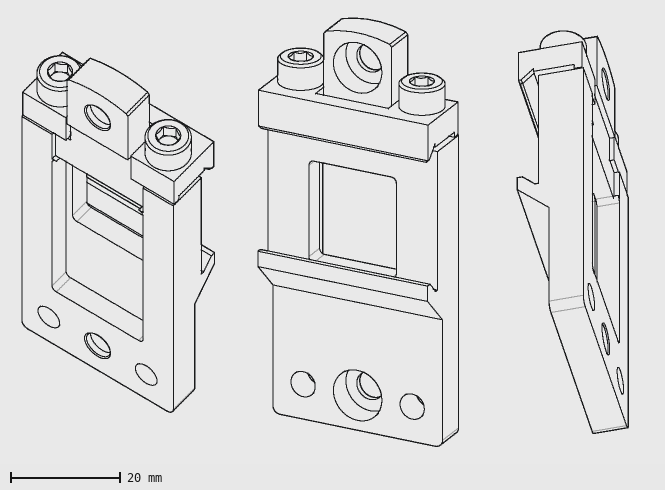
import cadquery as cq
import math


plate_width = 35.0
shoulder_z = 60.0
lower_thickness = 6.5
upper_thickness = 8.5
bottom_corner_radius = 1.5

hook_reach_y = 12.5
hook_tip_z = 34.65
hook_tip_flat = 1.0
hook_valley_z = 32.3
hook_outer_z = 31.6

tongue_width = 14.0
tongue_top_z = 79.5
tongue_crown_radius = 22.5
tongue_corner_chamfer = 0.4

pocket_width = 21.0
pocket_bottom_z = 15.5
pocket_top_z = 53.0
pocket_depth = 4.25
recess_top_z = 65.5
recess_depth = 1.0
window_width = 18.0
window_bottom_z = 32.75
pocket_corner_radius = 1.0

main_hole_diameter = 5.5
main_hole_chamfer = 0.25
counterbore_diameter = 10.0
counterbore_depth = 5.0
lower_hole_z = 7.0
upper_hole_z = recess_top_z + lower_hole_z
side_hole_diameter = 5.0
side_hole_x = 11.25

screw_x = 12.5
screw_y = 5.0
screw_length = 12.0
shank_diameter = 5.0
head_diameter = 8.5
head_height = 5.0
head_chamfer = 0.5
socket_across_flats = 4.0
socket_corner_diameter = socket_across_flats / math.cos(math.pi / 6)
socket_depth = 2.5
socket_bevel = (socket_corner_diameter - socket_across_flats) / 2
socket_cone_depth = 1.2

clamp_front_y = 0.25
clamp_depth = 12.0
clamp_back_y = clamp_front_y + clamp_depth
clamp_top_z = 66.75
clamp_underside_z = 61.25
clamp_lip_z = 60.25
clamp_lip_depth = 1.5
clamp_hole_diameter = 5.5
clamp_slot_width = 15.0
clamp_slot_back_y = 8.75
jaw_tip_z = 59.1
jaw_root_y = 9.4
jaw_end_chamfer = 0.5
jaw_heel_height = 0.5
jaw_heel_depth = 0.25


def block(x_size, y_min, y_max, z_min, z_max):
    """Box centred on X = 0."""
    size_y = y_max - y_min
    size_z = z_max - z_min
    return cq.Workplane("XY").box(x_size, size_y, size_z, centered=(True, False, False)).translate(
        (0, y_min, z_min)
    )


def side_profile(points, width):
    """Extrude a closed (Y, Z) outline symmetrically across X = 0."""
    return cq.Workplane("YZ").polyline(points).close().extrude(width / 2, both=True)


def through_y(diameter, x, z):
    """Cylinder running through the whole depth along Y."""
    return (
        cq.Workplane("XZ").center(x, z).circle(diameter / 2).extrude(-hook_reach_y)
    )


def make_plate_body():
    slope_end_z = hook_outer_z - (hook_reach_y - lower_thickness)
    tip_inner_y = hook_reach_y - hook_tip_flat
    valley_y = tip_inner_y - (hook_tip_z - hook_valley_z)
    outline = [
        (0, 0),
        (lower_thickness, 0),
        (lower_thickness, slope_end_z),
        (hook_reach_y, hook_outer_z),
        (hook_reach_y, hook_tip_z),
        (tip_inner_y, hook_tip_z),
        (valley_y, hook_valley_z),
        (upper_thickness, hook_valley_z),
        (upper_thickness, shoulder_z),
        (0, shoulder_z),
    ]
    body = side_profile(outline, plate_width)
    return body.edges("|Y").edges("<Z").fillet(bottom_corner_radius)


def make_tongue():
    half = tongue_width / 2
    crown_drop = tongue_crown_radius - math.sqrt(tongue_crown_radius**2 - half**2)
    crown_end_z = tongue_top_z - crown_drop
    return (
        cq.Workplane("XZ")
        .moveTo(-half, shoulder_z)
        .lineTo(-half, crown_end_z)
        .threePointArc((0, tongue_top_z), (half, crown_end_z))
        .lineTo(half, shoulder_z)
        .close()
        .extrude(-lower_thickness)
        .edges("|Y")
        .edges(">Z")
        .chamfer(tongue_corner_chamfer)
    )


def make_main_hole(z):
    """Clearance hole, chamfered at the front and counterbored from the back."""
    hole = through_y(main_hole_diameter, 0, z)
    mouth = (
        cq.Workplane("XZ")
        .center(0, z)
        .circle(main_hole_diameter / 2 + main_hole_chamfer)
        .extrude(-main_hole_chamfer, taper=45)
    )
    counterbore = (
        cq.Workplane("XZ", origin=(0, lower_thickness, z))
        .circle(counterbore_diameter / 2)
        .extrude(counterbore_depth)
    )
    return hole.union(mouth).union(counterbore)


def make_base_plate():
    plate = make_plate_body().union(make_tongue())

    recess = block(pocket_width, 0, recess_depth, pocket_top_z, recess_top_z)
    pocket = block(pocket_width, 0, pocket_depth, pocket_bottom_z, pocket_top_z)
    window = block(window_width, 0, upper_thickness, window_bottom_z, pocket_top_z)
    plate = plate.cut(recess)
    plate = plate.cut(pocket.edges("|Y").fillet(pocket_corner_radius))
    plate = plate.cut(window.edges("|Y").fillet(pocket_corner_radius))

    for z in (lower_hole_z, upper_hole_z):
        plate = plate.cut(make_main_hole(z))
    for x in (-side_hole_x, side_hole_x):
        plate = plate.cut(through_y(side_hole_diameter, x, lower_hole_z))

    for x in (-screw_x, screw_x):
        plate = plate.cut(make_shank(x, shank_diameter))
    return plate


def make_shank(x, diameter):
    """Cylinder along a screw's axis, from under its head to its end."""
    return (
        cq.Workplane("XY", origin=(x, screw_y, clamp_top_z))
        .circle(diameter / 2)
        .extrude(-screw_length)
    )


def make_socket(x):
    """Hexagonal socket with a bevelled mouth and a conical bottom."""
    head_top_z = clamp_top_z + head_height
    hexagon = (
        cq.Workplane("XY", origin=(x, screw_y, head_top_z))
        .transformed(rotate=(0, 0, 90))
        .polygon(6, socket_corner_diameter)
        .extrude(-socket_depth)
    )
    flat_radius = socket_across_flats / 2
    core_outline = [
        (0, 0),
        (socket_corner_diameter / 2, 0),
        (flat_radius, -socket_bevel),
        (flat_radius, -socket_depth),
        (0, -socket_depth - socket_cone_depth),
    ]
    core = (
        cq.Workplane("XZ", origin=(x, screw_y, head_top_z))
        .polyline(core_outline)
        .close()
        .revolve(360, (0, 0, 0), (0, 1, 0))
    )
    return hexagon.union(core)


def make_screw(x):
    head = (
        cq.Workplane("XY", origin=(x, screw_y, clamp_top_z))
        .circle(head_diameter / 2)
        .extrude(head_height)
        .faces(">Z")
        .chamfer(head_chamfer)
    )
    return head.union(make_shank(x, shank_diameter)).cut(make_socket(x))


def make_clamp_jaw():
    """Hook along the clamp's back edge, with a 45 degree inner face bevelled at both ends."""
    tip_inner_y = jaw_root_y + clamp_underside_z - jaw_tip_z
    outline = [
        (jaw_root_y, clamp_top_z),
        (jaw_root_y, clamp_underside_z),
        (tip_inner_y, jaw_tip_z),
        (clamp_back_y - jaw_heel_depth, jaw_tip_z),
        (clamp_back_y, jaw_tip_z + jaw_heel_height),
        (clamp_back_y, clamp_top_z),
    ]
    jaw = side_profile(outline, plate_width)
    slope_y = (jaw_root_y + tip_inner_y) / 2
    slope_z = (clamp_underside_z + jaw_tip_z) / 2
    tip_y = (tip_inner_y + clamp_back_y - jaw_heel_depth) / 2
    for x in (-plate_width / 2, plate_width / 2):
        slope_edge = cq.NearestToPointSelector((x, slope_y, slope_z))
        tip_edge = cq.NearestToPointSelector((x, tip_y, jaw_tip_z))
        jaw = jaw.edges(slope_edge + tip_edge).chamfer(jaw_end_chamfer)
    return jaw


def make_clamp():
    lip_back_y = clamp_front_y + clamp_lip_depth
    bar = block(plate_width, clamp_front_y, jaw_root_y, clamp_underside_z, clamp_top_z)
    lip = block(plate_width, clamp_front_y, lip_back_y, clamp_lip_z, clamp_underside_z)
    slot = block(clamp_slot_width, clamp_front_y, clamp_slot_back_y, clamp_lip_z, clamp_top_z)
    clamp = bar.union(lip).union(make_clamp_jaw()).cut(slot)
    for x in (-screw_x, screw_x):
        clamp = clamp.cut(make_shank(x, clamp_hole_diameter))
    return clamp


base_plate = make_base_plate()
clamp = make_clamp()
screws = [make_screw(x) for x in (-screw_x, screw_x)]

result = cq.Compound.makeCompound([base_plate.val(), clamp.val(), *[screw.val() for screw in screws]])